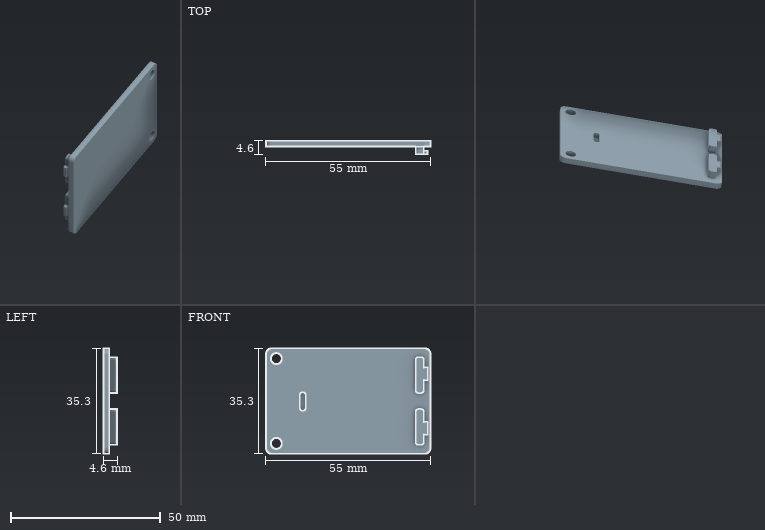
import cadquery as cq

plate_length = 55.0
plate_height = 35.33
plate_thickness = 2.0
corner_radius = 2.0

hole_diameter = 3.6
hole_edge_distance = 3.5

slot_width = 2.0
slot_length = 6.2
slot_depth = 1.8
slot_corner_radius = 0.98
slot_left_distance = 12.3
slot_bottom_distance = 17.5

post_width = 2.8
post_length = 12.0
post_height = 2.6
post_corner_radius = 1.0
post_left_distance = 50.0
post_edge_distance = 3.0

catch_reach = 1.2
catch_length = 4.2
catch_thickness = 1.3
catch_center_z = 9.1

plate_left = -plate_length / 2
plate_top = plate_height / 2
post_left = plate_left + post_left_distance
post_center_x = post_left + post_width / 2
post_center_z = plate_top - post_edge_distance - post_length / 2


def make_plate():
    """Rounded plate behind the front face."""
    plate = cq.Workplane("XY").box(
        plate_length, plate_thickness, plate_height, centered=(True, False, True)
    )
    return plate.edges("|Y").fillet(corner_radius)


def make_hole_cutters():
    """Two through holes, equally far from the left edge and the nearest long edge."""
    hole_x = plate_left + hole_edge_distance
    hole_z = plate_top - hole_edge_distance
    return (
        cq.Workplane("XZ")
        .pushPoints([(hole_x, hole_z), (hole_x, -hole_z)])
        .circle(hole_diameter / 2)
        .extrude(-plate_thickness)
    )


def make_slot_cutter():
    """Vertical slot with almost fully rounded ends, open at the front face."""
    slot_x = plate_left + slot_left_distance
    slot_z = slot_bottom_distance - plate_height / 2
    return (
        cq.Workplane("XZ")
        .center(slot_x, slot_z)
        .rect(slot_width, slot_length)
        .extrude(-slot_depth)
        .edges("|Y")
        .fillet(slot_corner_radius)
    )


def make_clip(side):
    """Post with its catch; side is +1 for the upper clip and -1 for the lower one."""
    post = (
        cq.Workplane("XZ")
        .center(post_center_x, side * post_center_z)
        .rect(post_width, post_length)
        .extrude(post_height)
        .edges("|Y")
        .fillet(post_corner_radius)
    )
    catch_span = post_width / 2 + catch_reach
    catch = (
        cq.Workplane("XZ", origin=(0, catch_thickness - post_height, 0))
        .center(post_center_x + catch_span / 2, side * catch_center_z)
        .rect(catch_span, catch_length)
        .extrude(catch_thickness)
    )
    return post.union(catch)


result = make_plate().cut(make_hole_cutters()).cut(make_slot_cutter())
for side in (1, -1):
    result = result.union(make_clip(side))